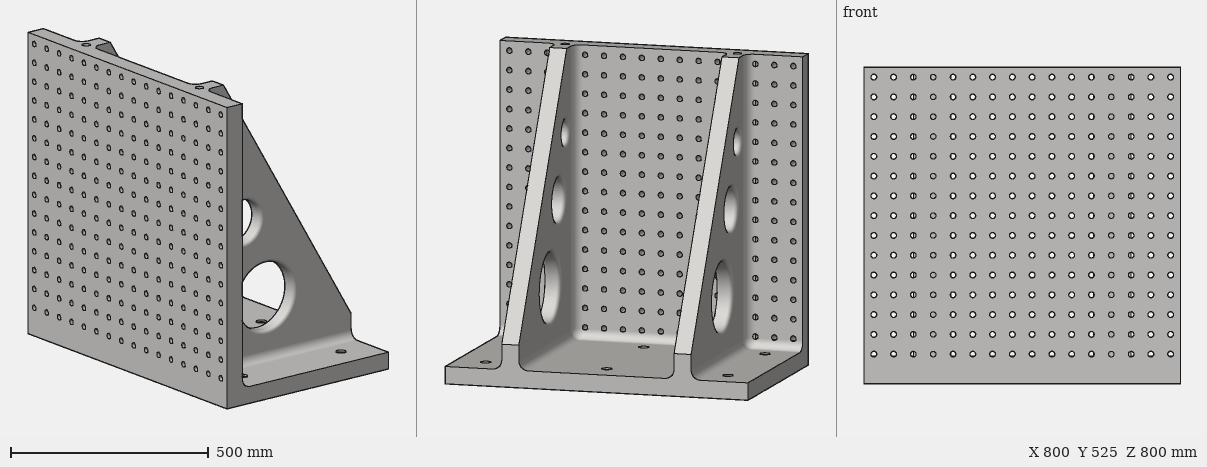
import cadquery as cq

WIDTH = 800.0
DEPTH = 525.0
HEIGHT = 800.0

PLATE_THICKNESS = 50.0
BASE_THICKNESS = 45.0
INNER_FILLET = 25.0

RIB_THICKNESS = 45.0
RIB_SPACING = 455.0
RIB_TOP_DEPTH = 110.0
RIB_BACK_HEIGHT = 110.0
RIB_CENTERS = (-RIB_SPACING / 2, RIB_SPACING / 2)

LIGHTENING_HOLES = (
    (250.0, 210.0, 180.0),
    (175.0, 422.0, 115.0),
    (118.0, 585.0, 65.0),
)
LIGHTENING_EDGE_RADIUS = 10.0

GRID_DIAMETER = 14.0
GRID_PITCH = 50.0
GRID_COLUMNS = 16
GRID_ROWS = 15
GRID_TOP_MARGIN = 25.0
GRID_DEPTH = PLATE_THICKNESS

MOUNT_DIAMETER = 18.0
MOUNT_BORE_DIAMETER = 26.0
MOUNT_BORE_DEPTH = 5.0
MOUNT_PITCH = 320.0
MOUNT_BACK_MARGIN = 90.0
MOUNT_COLUMNS = 3
MOUNT_ROWS = 2

LIFT_DIAMETER = 21.0
LIFT_DEPTH = 50.0
LIFT_Y = PLATE_THICKNESS
LIFT_TIP_DEPTH = LIFT_DIAMETER / 4


def make_base_and_plate():
    """L-shaped base and upright plate across the full width."""
    return (
        cq.Workplane("YZ", origin=(-WIDTH / 2, 0, 0))
        .polyline([
            (0, 0),
            (DEPTH, 0),
            (DEPTH, BASE_THICKNESS),
            (PLATE_THICKNESS, BASE_THICKNESS),
            (PLATE_THICKNESS, HEIGHT),
            (0, HEIGHT),
        ])
        .close()
        .extrude(WIDTH)
    )


def make_rib(center_x):
    """Sloped rib joining the base to the upright plate."""
    return (
        cq.Workplane("YZ", origin=(center_x - RIB_THICKNESS / 2, 0, 0))
        .polyline([
            (0, 0),
            (DEPTH, 0),
            (DEPTH, RIB_BACK_HEIGHT),
            (RIB_TOP_DEPTH, HEIGHT),
            (0, HEIGHT),
        ])
        .close()
        .extrude(RIB_THICKNESS)
    )


def fillet_inner_corners(body):
    """Round every concave edge where the ribs, base and plate meet."""
    margin = 1.0
    x_limit = WIDTH / 2 - margin
    plate_corners = cq.selectors.BoxSelector(
        (-x_limit, PLATE_THICKNESS - margin, BASE_THICKNESS - margin),
        (x_limit, PLATE_THICKNESS + margin, HEIGHT - margin),
    )
    rib_feet = cq.selectors.BoxSelector(
        (-x_limit, PLATE_THICKNESS + margin, BASE_THICKNESS - margin),
        (x_limit, DEPTH - margin, BASE_THICKNESS + margin),
    )
    return body.edges(plate_corners + rib_feet).fillet(INNER_FILLET)


def make_lightening_cutter(center_x, y, z, diameter):
    """Bore through a rib, flared at both faces to leave rounded edges."""
    half = RIB_THICKNESS / 2
    radius = diameter / 2
    flare = LIGHTENING_EDGE_RADIUS
    return (
        cq.Workplane("XY", origin=(center_x, y, z))
        .moveTo(-half, 0)
        .lineTo(-half, radius + flare)
        .radiusArc((-half + flare, radius), -flare)
        .lineTo(half - flare, radius)
        .radiusArc((half, radius + flare), -flare)
        .lineTo(half, 0)
        .close()
        .revolve(360, (0, 0, 0), (1, 0, 0))
    )


def cut_lightening_holes(body):
    for center_x in RIB_CENTERS:
        for y, z, diameter in LIGHTENING_HOLES:
            body = body.cut(make_lightening_cutter(center_x, y, z, diameter))
    return body


def cut_grid_holes(body):
    """Blind grid holes from the front face, as deep as the plate is thick."""
    grid_height = (GRID_ROWS - 1) * GRID_PITCH
    grid_center_z = HEIGHT - GRID_TOP_MARGIN - grid_height / 2
    cutters = (
        cq.Workplane("XZ", origin=(0, 0, grid_center_z))
        .rarray(GRID_PITCH, GRID_PITCH, GRID_COLUMNS, GRID_ROWS)
        .circle(GRID_DIAMETER / 2)
        .extrude(-GRID_DEPTH)
    )
    return body.cut(cutters)


def cut_mount_holes(body):
    center_y = DEPTH - MOUNT_BACK_MARGIN - MOUNT_PITCH / 2
    return (
        body.copyWorkplane(cq.Workplane("XY", origin=(0, center_y, BASE_THICKNESS)))
        .rarray(MOUNT_PITCH, MOUNT_PITCH, MOUNT_COLUMNS, MOUNT_ROWS)
        .cboreHole(MOUNT_DIAMETER, MOUNT_BORE_DIAMETER, MOUNT_BORE_DEPTH, BASE_THICKNESS)
    )


def cut_lift_holes(body):
    """Blind holes with a conical drill tip."""
    radius = LIFT_DIAMETER / 2
    for center_x in RIB_CENTERS:
        cutter = (
            cq.Workplane("XZ", origin=(center_x, LIFT_Y, HEIGHT))
            .polyline([
                (0, 0),
                (radius, 0),
                (radius, -LIFT_DEPTH),
                (0, -LIFT_DEPTH - LIFT_TIP_DEPTH),
            ])
            .close()
            .revolve(360, (0, 0, 0), (0, 1, 0))
        )
        body = body.cut(cutter)
    return body


body = make_base_and_plate()
for rib_x in RIB_CENTERS:
    body = body.union(make_rib(rib_x))
body = fillet_inner_corners(body)
body = cut_lightening_holes(body)
body = cut_grid_holes(body)
body = cut_mount_holes(body)
result = cut_lift_holes(body)